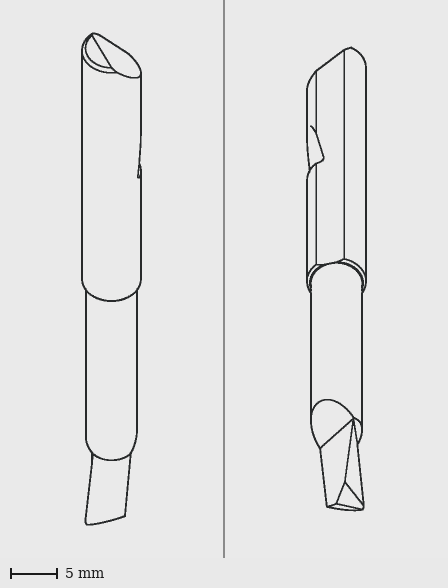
import cadquery as cq
import math

total_length = 76.2
shank_bottom = 38.3
neck_bottom = 12.3

shank_radius = 3.16
shank_chamfer = 0.3
top_chamfer = 0.4
top_land_edge_y = -1.15
flat_distance = 2.76
flat_angle = 150.0
notch_top = 64.2
notch_bottom = 56.2
notch_floor_y = 2.0
notch_radius = 0.8

neck_radius = 2.75
runout_angle = 45.0
shoulder_angle = 35.0

upper_edge = (-2.4, -1.2)
upper_heel = (0.85, -2.55)
upper_back_y = 1.15
lower_edge = (-3.05, -0.1)
lower_heel = (-0.3, -3.0)
lower_back_y = 0.0
lower_head_radius = 3.05
arc_middle_angle = -45.0

corner_height = 2.9
corner_start_x = 0.2
end_rise = 0.2

margin = 7.6


def on_circle(radius, angle):
    """Plan point on a circle about the tool axis."""
    return (radius * math.cos(math.radians(angle)), radius * math.sin(math.radians(angle)))


def back_corner(radius, y):
    return (math.sqrt(radius**2 - y**2), y)


def prism_along_x(outline):
    """Cutting body from a polygon in Y and Z, reaching past both sides in X."""
    return cq.Workplane("YZ").polyline(outline).close().extrude(margin, both=True)


def make_shank():
    height = total_length - shank_bottom
    shank = cq.Workplane("XY").workplane(offset=shank_bottom).circle(shank_radius).extrude(height)
    shank = shank.faces(">Z").chamfer(top_chamfer).faces("<Z").chamfer(shank_chamfer)

    reach = shank_radius + margin - top_land_edge_y
    bevel = prism_along_x([
        (top_land_edge_y, total_length),
        (top_land_edge_y + reach, total_length),
        (top_land_edge_y + reach, total_length - reach),
    ])

    flat = (
        cq.Workplane("XY")
        .box(margin, 2 * margin, total_length, centered=(False, True, False))
        .translate((flat_distance, 0, 0))
        .rotate((0, 0, 0), (0, 0, 1), flat_angle)
    )

    notch = (
        cq.Workplane("YZ")
        .moveTo(shank_radius, notch_top)
        .lineTo(notch_floor_y, notch_bottom + notch_radius)
        .radiusArc((notch_floor_y + notch_radius, notch_bottom), -notch_radius)
        .lineTo(shank_radius + margin, notch_bottom)
        .lineTo(shank_radius + margin, notch_top)
        .close()
        .extrude(margin, both=True)
    )
    return shank.cut(bevel).cut(flat).cut(notch)


def runout(start, end, rise_angle):
    """Wedge rising outward, to the left of the plan line from start to end."""
    direction = math.degrees(math.atan2(end[1] - start[1], end[0] - start[0]))
    rise = margin * math.tan(math.radians(rise_angle))
    wedge = prism_along_x([(0, 0), (margin, 0), (margin, rise)])
    wedge = wedge.rotate((0, 0, 0), (0, 0, 1), direction)
    return wedge.translate((start[0], start[1], neck_bottom))


def make_neck():
    height = shank_bottom - neck_bottom
    neck = cq.Workplane("XY").workplane(offset=neck_bottom).circle(neck_radius).extrude(height)
    upper_back = back_corner(neck_radius, upper_back_y)
    neck = neck.cut(runout(upper_edge, upper_back, runout_angle))
    return neck.cut(runout(upper_heel, upper_edge, shoulder_angle))


def head_section(plane, edge, heel, radius, back_y):
    """Rake face, relief face and round heel at one height."""
    return (
        plane.moveTo(*edge)
        .lineTo(*heel)
        .threePointArc(on_circle(radius, arc_middle_angle), back_corner(radius, back_y))
        .close()
    )


def make_head():
    base = cq.Workplane("XY")
    lower = head_section(base, lower_edge, lower_heel, lower_head_radius, lower_back_y)
    upper_plane = lower.workplane(offset=neck_bottom)
    upper = head_section(upper_plane, upper_edge, upper_heel, neck_radius, upper_back_y)
    head = upper.loft(ruled=True)

    corner_end_x = corner_start_x + corner_height - end_rise
    end_relief = (
        cq.Workplane("XZ")
        .polyline([
            (lower_edge[0], 0),
            (corner_start_x, end_rise),
            (corner_end_x, corner_height),
            (corner_end_x + margin, corner_height + margin),
            (corner_end_x + margin, -margin),
            (lower_edge[0], -margin),
        ])
        .close()
        .extrude(margin, both=True)
    )
    return head.cut(end_relief)


result = make_shank().union(make_neck()).union(make_head())